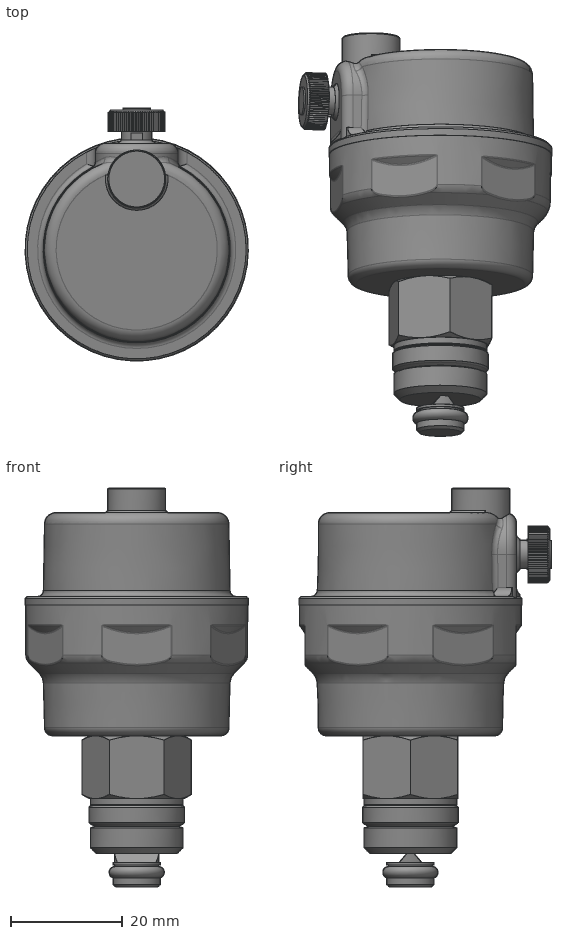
import cadquery as cq
import math


cup_top_radius = 16.75
cup_bottom_radius = 16.5
cup_corner_z = 10.5
cup_bottom_fillet = 1.5
shoulder_fillet = 2.5
wall_radius = 19.9
wall_fillet = 2.0
wall_bottom_z = cup_corner_z + wall_radius - cup_top_radius
rim_radius = 20.0
rim_bottom_z = 23.4
rim_top_z = 25.0
rim_chamfer = 0.4
cap_bottom_radius = 16.75
cap_top_radius = 16.5
cap_top_z = 40.0
cap_top_fillet = 2.1
cap_foot_fillet = 1.0

flat_count = 6
flat_distance = 18.9
flat_roof_z = 19.8
flat_roof_slope = 1.4
flat_bottom_z = 11.0
flat_edge_fillet = 0.4
seam_turn = -15.0

pad_half_width = 7.4
pad_face_y = 19.0
pad_root_y = 10.0
pad_arc_z = cap_top_z - 0.1 - pad_half_width
pad_edge_fillet = 1.8
pad_root_fillet = 1.2
pad_foot_flare = 1.6

button_y = 12.6
button_radius = 5.2
button_top_z = 44.4
button_chamfer = 0.2
button_root_z = 37.0
button_flare = 0.4

outlet_z = pad_arc_z
stem_radius = 2.73
stem_flare = 0.6
knob_back_y = 21.1
knob_front_y = 25.0
knob_radius = 5.1
knob_chamfer = 0.5
knob_groove_count = 72
knob_groove_depth = 0.2
nub_radius = 2.5
nub_end_y = 25.29
slot_width = 2.0
slot_end_y = 20.85
slot_depth = 0.6

hex_across_flats = 17.0
hex_height = 11.25
hex_chamfer_angle = 30.0
neck_radius = 8.33
neck_bottom_z = -12.3
ring_radius = 8.58
ring_top_z = -12.5
ring_bottom_z = -15.8
ring_chamfer = 0.3
upper_groove_radius = 7.95
lower_groove_radius = 7.5
lower_groove_z = -16.2
spigot_top_z = -16.5
spigot_bottom_z = -21.1
spigot_chamfer = 1.1
plug_radius = 4.25
plug_top_z = -22.65
plug_lip_bottom_z = -23.1
plug_recess_radius = 3.95
plug_bottom_z = -27.1
plug_chamfer = 0.5
seal_center_z = -24.45
seal_outer_radius = 4.95
seal_section_radius = 1.05
tongue_radius = 4.0
tongue_top_half_thickness = 0.7
tongue_bottom_half_thickness = 2.0
tongue_root_depth = 0.5


def turned(points):
    """Solid of revolution about Z from a closed outline of (radius, z) points."""
    return cq.Workplane("XZ").polyline(points).close().revolve(360, (0, 0), (0, 1))


def along_y(radius, start_y, end_y):
    """Cylinder on the outlet axis between two Y positions."""
    return (
        cq.Workplane("XZ", origin=(0, start_y, outlet_z))
        .circle(radius)
        .extrude(start_y - end_y)
    )


def edges_at_height(body, z):
    """The edges of a turned body that lie flat at one height."""
    margin = 0.01
    lower = (-rim_radius, -rim_radius, z - margin)
    upper = (rim_radius, rim_radius, z + margin)
    return body.edges(cq.selectors.BoxSelector(lower, upper))


def make_cup():
    """Tapered cup, 45 degree shoulder, wall and rim."""
    cup = turned([
        (0, 0),
        (cup_bottom_radius, 0),
        (cup_top_radius, cup_corner_z),
        (wall_radius, wall_bottom_z),
        (wall_radius, rim_bottom_z),
        (rim_radius, rim_bottom_z),
        (rim_radius, rim_top_z - rim_chamfer),
        (rim_radius - rim_chamfer, rim_top_z),
        (0, rim_top_z),
    ])
    cup = edges_at_height(cup, 0).fillet(cup_bottom_fillet)
    cup = edges_at_height(cup, cup_corner_z).fillet(shoulder_fillet)
    return edges_at_height(cup, wall_bottom_z).fillet(wall_fillet)


def make_flat_cutter():
    """Material outside the wrench flat on the -Y side, closed above by a conical roof."""
    inside = flat_distance - 1
    outside = wall_radius + 1
    swept = turned([
        (inside, flat_bottom_z),
        (outside, flat_bottom_z),
        (outside, flat_roof_z + flat_roof_slope),
        (inside, flat_roof_z + flat_roof_slope * (inside - wall_radius)),
    ])
    beyond_flat = (
        cq.Workplane("XY")
        .box(2 * rim_radius, rim_radius, rim_top_z, centered=(True, False, False))
        .translate((0, -flat_distance - rim_radius, 0))
    )
    return swept.intersect(beyond_flat)


def cut_flats(body):
    """Cut all the flats, then round the edges of each as it is turned to the -Y side."""
    cutter = make_flat_cutter()
    half_width = math.sqrt(wall_radius**2 - flat_distance**2) + 1
    around_flat = cq.selectors.BoxSelector(
        (-half_width, -rim_radius - 1, flat_bottom_z),
        (half_width, 1 - flat_distance, flat_roof_z + 1),
    )
    turn = 360 / flat_count
    for index in range(flat_count):
        body = body.cut(cutter.rotate((0, 0, 0), (0, 0, 1), index * turn))
    for _ in range(flat_count):
        body = body.edges(around_flat).fillet(flat_edge_fillet)
        body = body.rotate((0, 0, 0), (0, 0, 1), turn)
    return body


def make_cap():
    cap = turned([
        (0, rim_bottom_z),
        (cap_bottom_radius, rim_bottom_z),
        (cap_bottom_radius, rim_top_z),
        (cap_top_radius, cap_top_z),
        (0, cap_top_z),
    ])
    return cap.faces(">Z").edges().fillet(cap_top_fillet)


def make_cap_foot():
    """Concave ring that joins the cap to the top of the rim."""
    mid = cap_foot_fillet * (1 - math.sqrt(0.5))
    foot_top_z = rim_top_z + cap_foot_fillet
    return (
        cq.Workplane("XZ")
        .moveTo(cap_top_radius - 1, rim_top_z)
        .lineTo(cap_bottom_radius + cap_foot_fillet, rim_top_z)
        .threePointArc((cap_bottom_radius + mid, rim_top_z + mid), (cap_bottom_radius, foot_top_z))
        .lineTo(cap_top_radius - 1, foot_top_z)
        .close()
        .revolve(360, (0, 0), (0, 1))
    )


def make_pad():
    """Arched pad whose round top is centred on the outlet axis."""
    pad = (
        cq.Workplane("XZ", origin=(0, pad_face_y, 0))
        .moveTo(-pad_half_width, rim_bottom_z)
        .lineTo(-pad_half_width, pad_arc_z)
        .threePointArc((0, pad_arc_z + pad_half_width), (pad_half_width, pad_arc_z))
        .lineTo(pad_half_width, rim_bottom_z)
        .close()
        .extrude(pad_face_y - pad_root_y)
    )
    return pad.faces(">Y").edges("not <Z").fillet(pad_edge_fillet)


def make_pad_foot():
    """Concave flare that joins the pad to the top of the rim."""
    flare_top_z = rim_top_z + pad_foot_flare
    mid = pad_foot_flare * (1 - math.sqrt(0.5))
    side = pad_half_width
    across = (
        cq.Workplane("XZ", origin=(0, rim_radius, 0))
        .moveTo(-side - pad_foot_flare, rim_top_z)
        .threePointArc((-side - mid, rim_top_z + mid), (-side, flare_top_z))
        .lineTo(side, flare_top_z)
        .threePointArc((side + mid, rim_top_z + mid), (side + pad_foot_flare, rim_top_z))
        .close()
        .extrude(rim_radius - pad_root_y)
    )
    outward = (
        cq.Workplane("YZ", origin=(-rim_radius, 0, 0))
        .moveTo(pad_root_y, rim_top_z)
        .lineTo(pad_root_y, flare_top_z)
        .lineTo(pad_face_y, flare_top_z)
        .threePointArc((pad_face_y + mid, rim_top_z + mid), (pad_face_y + pad_foot_flare, rim_top_z))
        .close()
        .extrude(2 * rim_radius)
    )
    rim_top = cq.Workplane("XY").workplane(offset=rim_top_z).circle(rim_radius - rim_chamfer)
    return across.intersect(outward).intersect(rim_top.extrude(pad_foot_flare))


def make_button():
    """Round button with a small conical flare on the flat top of the cap."""
    button = (
        cq.Workplane("XY", origin=(0, button_y, button_root_z))
        .circle(button_radius)
        .extrude(button_top_z - button_root_z)
    )
    button = button.faces(">Z").edges().chamfer(button_chamfer)
    flare = turned([
        (0, cap_top_z),
        (button_radius + button_flare, cap_top_z),
        (button_radius, cap_top_z + button_flare),
        (0, cap_top_z + button_flare),
    ]).translate((0, button_y, 0))
    flat_top = (
        cq.Workplane("XY")
        .workplane(offset=cap_top_z)
        .circle(cap_top_radius - cap_top_fillet)
        .extrude(button_flare)
    )
    return button.union(flare.intersect(flat_top))


def make_outlet():
    """Stem with two vent slots, knurled knob and end disc, lying along Y."""
    stem = along_y(stem_radius, pad_face_y - 1, knob_back_y)
    slot_length = slot_end_y - pad_face_y
    for side in (-1, 1):
        slot = cq.Workplane("XY").box(slot_width, slot_length, 2 * slot_depth)
        stem = stem.cut(slot.translate((0, pad_face_y + slot_length / 2, outlet_z + side * stem_radius)))
    flare = along_y(stem_radius + stem_flare, pad_face_y - 1, pad_face_y + stem_flare)
    flare = flare.faces(">Y").edges().chamfer(stem_flare * 0.99)
    return stem.union(flare).union(make_knob()).union(along_y(nub_radius, knob_back_y, nub_end_y))


def make_knob():
    """Knob outlined by alternating ridge and groove points."""
    points = []
    for index in range(2 * knob_groove_count):
        angle = math.pi * index / knob_groove_count
        radius = knob_radius - knob_groove_depth * (index % 2)
        points.append((radius * math.sin(angle), radius * math.cos(angle)))
    knob = (
        cq.Workplane("XZ", origin=(0, knob_back_y, outlet_z))
        .polyline(points)
        .close()
        .extrude(knob_back_y - knob_front_y)
    )
    envelope = along_y(knob_radius, knob_back_y, knob_front_y).faces(">Y").edges().chamfer(knob_chamfer)
    return knob.intersect(envelope)


def make_padded_cap():
    """Cap with the pad, rounded where the sides of the pad meet the cap."""
    cap = make_cap().union(make_pad())
    around_pad = cq.selectors.BoxSelector(
        (-pad_half_width - 0.1, cap_top_radius - 2, rim_top_z),
        (pad_half_width + 0.1, pad_face_y - pad_edge_fillet, cap_top_z),
    )
    return cap.edges(around_pad).edges("%BSPLINE").fillet(pad_root_fillet)


def make_housing():
    cup = make_cup().rotate((0, 0, 0), (0, 0, 1), seam_turn)
    housing = cut_flats(cup).union(make_padded_cap())
    housing = housing.union(make_cap_foot()).union(make_pad_foot())
    return housing.union(make_button()).union(make_outlet())


def make_hexagon():
    """Hexagon with a flat toward -Y and both ends chamfered by a cone."""
    corner_radius = hex_across_flats / math.sqrt(3)
    flat_radius = hex_across_flats / 2
    drop = (corner_radius - flat_radius) * math.tan(math.radians(hex_chamfer_angle))
    prism = cq.Workplane("XY").polygon(6, 2 * corner_radius).extrude(-hex_height)
    envelope = turned([
        (0, 0),
        (flat_radius, 0),
        (corner_radius, -drop),
        (corner_radius, drop - hex_height),
        (flat_radius, -hex_height),
        (0, -hex_height),
    ])
    return prism.intersect(envelope)


def make_collars():
    """Neck, ring and spigot below the hexagon, parted by two narrow grooves."""
    return turned([
        (0, -hex_height),
        (neck_radius, -hex_height),
        (neck_radius, neck_bottom_z),
        (upper_groove_radius, neck_bottom_z),
        (upper_groove_radius, ring_top_z),
        (ring_radius - ring_chamfer, ring_top_z),
        (ring_radius, ring_top_z - ring_chamfer),
        (ring_radius, ring_bottom_z + ring_chamfer),
        (ring_radius - ring_chamfer, ring_bottom_z),
        (lower_groove_radius, lower_groove_z),
        (neck_radius, spigot_top_z),
        (neck_radius, spigot_bottom_z + spigot_chamfer),
        (neck_radius - spigot_chamfer, spigot_bottom_z),
        (0, spigot_bottom_z),
    ])


def make_plug():
    """Sealing plug with its seal bead, hung from the spigot by a tapered tongue."""
    bead_reach = seal_outer_radius - seal_section_radius
    bead_top = math.sqrt(seal_section_radius**2 - (plug_recess_radius - bead_reach) ** 2)
    bead_bottom = math.sqrt(seal_section_radius**2 - (plug_radius - bead_reach) ** 2)
    plug = (
        cq.Workplane("XZ")
        .moveTo(0, plug_top_z)
        .lineTo(plug_radius, plug_top_z)
        .lineTo(plug_radius, plug_lip_bottom_z)
        .lineTo(plug_recess_radius, plug_lip_bottom_z)
        .lineTo(plug_recess_radius, seal_center_z + bead_top)
        .threePointArc((seal_outer_radius, seal_center_z), (plug_radius, seal_center_z - bead_bottom))
        .lineTo(plug_radius, plug_bottom_z + plug_chamfer)
        .lineTo(plug_radius - plug_chamfer, plug_bottom_z)
        .lineTo(0, plug_bottom_z)
        .close()
        .revolve(360, (0, 0), (0, 1))
    )
    tongue_profile = [
        (-tongue_top_half_thickness, spigot_bottom_z + tongue_root_depth),
        (-tongue_top_half_thickness, spigot_bottom_z),
        (-tongue_bottom_half_thickness, plug_top_z),
        (tongue_bottom_half_thickness, plug_top_z),
        (tongue_top_half_thickness, spigot_bottom_z),
        (tongue_top_half_thickness, spigot_bottom_z + tongue_root_depth),
    ]
    tongue = cq.Workplane("YZ").polyline(tongue_profile).close().extrude(tongue_radius, both=True)
    round_limit = cq.Workplane("XY").circle(tongue_radius).extrude(plug_bottom_z)
    return plug.union(tongue.intersect(round_limit))


def make_valve():
    return make_hexagon().union(make_collars()).union(make_plug())


housing = make_housing()
valve = make_valve()
result = cq.Compound.makeCompound([housing.val(), valve.val()])